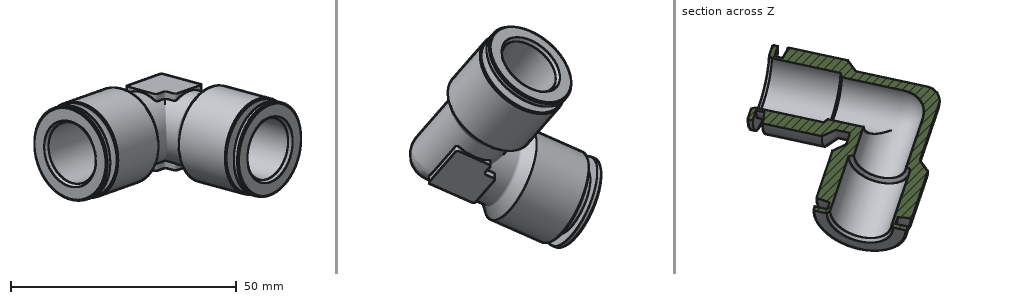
import cadquery as cq


overall = 42.4
body_diameter = 22.0
body_radius = body_diameter / 2
mouth_at = overall - body_radius
neck_radius = 8.52
shoulder_at = 14.2
cone_start_at = shoulder_at - (body_radius - neck_radius)
neck_fillet = 0.55
body_end_at = 28
body_chamfer = 0.25
end_cone_radius = 9.92
end_cone_height = 0.35

collar_radius = 7.9
flange_radius = 10.75
flange_thickness = 1.27
flange_chamfer = 0.3
flange_at = mouth_at - flange_thickness

passage_radius = 5.98
socket_radius = 7.05
socket_floor_at = shoulder_at
socket_cone_height = 0.65
countersink_radius = 7.6
countersink_depth = 0.85

pad_top = 8.95
pad_inner = 4.5
pad_outer = 7.55
pad_corner_radius = 0.5

outer_corner_fillet = 4.0
inner_corner_fillet = 0.25
corner_half_height = 7.45


def revolve_along_x(points):
    """Turn a closed (x, radius) outline about the X axis."""
    return cq.Workplane("XY").polyline(points).close().revolve(360, (0, 0, 0), (1, 0, 0))


def on_both_arms(arm):
    """Join a shape on the +X arm with its copy on the -Y arm."""
    return arm.union(arm.rotate((0, 0, 0), (0, 0, 1), -90))


def arm_solid():
    """Neck, shoulder cone, body and release collar of the +X arm."""
    arm = revolve_along_x([
        (0, 0),
        (0, neck_radius),
        (cone_start_at, neck_radius),
        (shoulder_at, body_radius),
        (body_end_at - body_chamfer, body_radius),
        (body_end_at, body_radius - body_chamfer),
        (body_end_at, end_cone_radius),
        (body_end_at + end_cone_height, collar_radius),
        (flange_at, collar_radius),
        (flange_at, flange_radius),
        (mouth_at - flange_chamfer, flange_radius),
        (mouth_at, flange_radius - flange_chamfer),
        (mouth_at, 0),
    ])
    cone_root = cq.selectors.NearestToPointSelector((cone_start_at, 0, 0))
    return arm.edges("%CIRCLE").edges(cone_root).fillet(neck_fillet)


def arm_bore():
    """Passage, stepped tube socket and countersunk mouth of the +X arm."""
    return revolve_along_x([
        (0, 0),
        (0, passage_radius),
        (socket_floor_at, passage_radius),
        (socket_floor_at + socket_cone_height, socket_radius),
        (mouth_at - countersink_depth, socket_radius),
        (mouth_at, countersink_radius),
        (mouth_at, 0),
    ])


def pads():
    """L-shaped block through the elbow whose ends stand proud above and below."""
    return (
        cq.Workplane("XY")
        .polyline([
            (-pad_inner, pad_inner),
            (pad_outer, pad_inner),
            (pad_outer, -pad_inner),
            (pad_inner, -pad_inner),
            (pad_inner, -pad_outer),
            (-pad_inner, -pad_outer),
        ])
        .close()
        .extrude(pad_top, both=True)
        .edges("|Z")
        .fillet(pad_corner_radius)
    )


def corner_solid():
    """Overlap of the two necks behind the arms, with its diagonal mitre edge rounded."""
    neck_x = cq.Workplane("YZ").circle(neck_radius).extrude(-neck_radius)
    neck_y = cq.Workplane("XZ").circle(neck_radius).extrude(-neck_radius)
    slab = cq.Workplane("XY").box(2 * neck_radius, 2 * neck_radius, 2 * corner_half_height)
    corner = neck_x.intersect(neck_y).intersect(slab)
    mitre_edges = cq.selectors.BoxSelector(
        (-neck_radius, neck_radius / 2, -neck_radius),
        (-neck_radius / 2, neck_radius, neck_radius),
    )
    return corner.edges("%ELLIPSE").edges(mitre_edges).fillet(outer_corner_fillet)


def round_inner_corner(body):
    """Fillet the crease where the two necks meet between the arms."""
    crease = cq.selectors.BoxSelector(
        (pad_inner, -neck_radius, -neck_radius),
        (neck_radius, -pad_inner, neck_radius),
    )
    return body.edges("%ELLIPSE").edges(crease).fillet(inner_corner_fillet)


outside = on_both_arms(arm_solid()).union(pads())
outside = round_inner_corner(outside).union(corner_solid())

passage_turn = cq.Workplane("XY").sphere(passage_radius)
result = outside.cut(on_both_arms(arm_bore()).union(passage_turn))